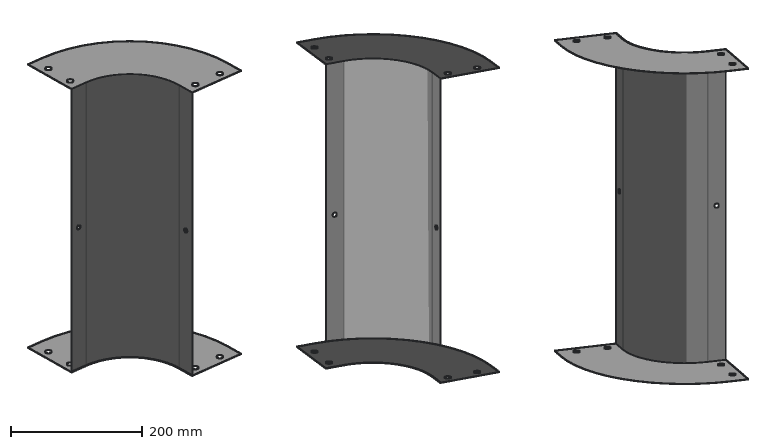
import cadquery as cq

height = 500.0
sheet = 1.0
flange_width = 100.0
inner_radius = 100.0
straight = 30.0
outer_radius = inner_radius + flange_width
size = outer_radius + straight

wall_hole_diameter = 7.0
hole_to_end = straight / 2
flange_hole_diameter = 10.0
hole_spacing = 50.0
first_hole = 30.0


def bend_outline(radius):
    """Closed region under a quarter bend, with straight ends reaching the two end faces.

    The bend is centred on (outer_radius, straight) and its ends lie on x = size and y = 0.
    """
    left = outer_radius - radius
    top = straight + radius
    return (
        cq.Workplane("XY")
        .moveTo(left, 0)
        .lineTo(left, straight)
        .radiusArc((outer_radius, top), radius)
        .lineTo(size, top)
        .lineTo(size, 0)
        .close()
    )


def bend_strip(outside, inside, thickness):
    """Quarter-bend strip lying between two concentric radii."""
    return bend_outline(outside).extrude(thickness).cut(bend_outline(inside).extrude(thickness))


flange = bend_strip(outer_radius, inner_radius, sheet)
wall = bend_strip(inner_radius + sheet, inner_radius, height)
body = wall.union(flange).union(flange.translate((0, 0, height - sheet)))

hole_offsets = [first_hole, first_hole + hole_spacing]
hole_points = [(offset, hole_to_end) for offset in hole_offsets]
hole_points += [(size - hole_to_end, size - offset) for offset in hole_offsets]
flange_holes = cq.Workplane("XY").pushPoints(hole_points).circle(flange_hole_diameter / 2).extrude(height)

wall_hole_front = (
    cq.Workplane("XZ")
    .center(size - hole_to_end, height / 2)
    .circle(wall_hole_diameter / 2)
    .extrude(-size)
)
wall_hole_side = (
    cq.Workplane("YZ")
    .center(hole_to_end, height / 2)
    .circle(wall_hole_diameter / 2)
    .extrude(size)
)

result = body.cut(flange_holes).cut(wall_hole_front).cut(wall_hole_side)